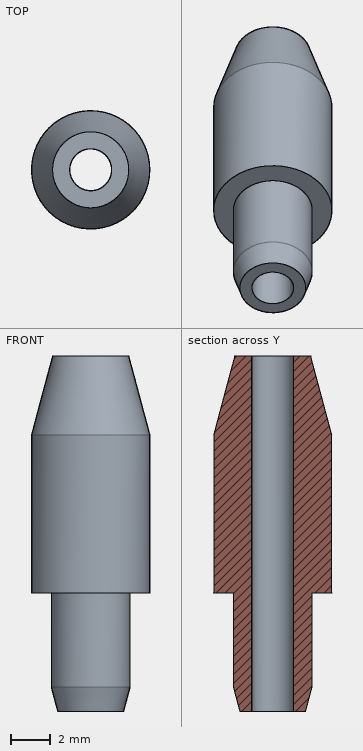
import cadquery as cq
import math

total_length = 18.0
shank_length = 6.0
nose_length = 4.0
tip_length = 1.25

body_diameter = 6.0
shank_diameter = 4.0
bore_diameter = 2.1
taper_angle = 15.0

body_radius = body_diameter / 2
shank_radius = shank_diameter / 2
bore_radius = bore_diameter / 2
taper_slope = math.tan(math.radians(taper_angle))
nose_end_radius = body_radius - nose_length * taper_slope
tip_end_radius = shank_radius - tip_length * taper_slope

bottom = -total_length / 2
top = bottom + total_length
shoulder = bottom + shank_length
half_section = [
    (bore_radius, bottom),
    (tip_end_radius, bottom),
    (shank_radius, bottom + tip_length),
    (shank_radius, shoulder),
    (body_radius, shoulder),
    (body_radius, top - nose_length),
    (nose_end_radius, top),
    (bore_radius, top),
]

result = cq.Workplane("XZ").polyline(half_section).close().revolve(360, (0, 0, 0), (0, 1, 0))